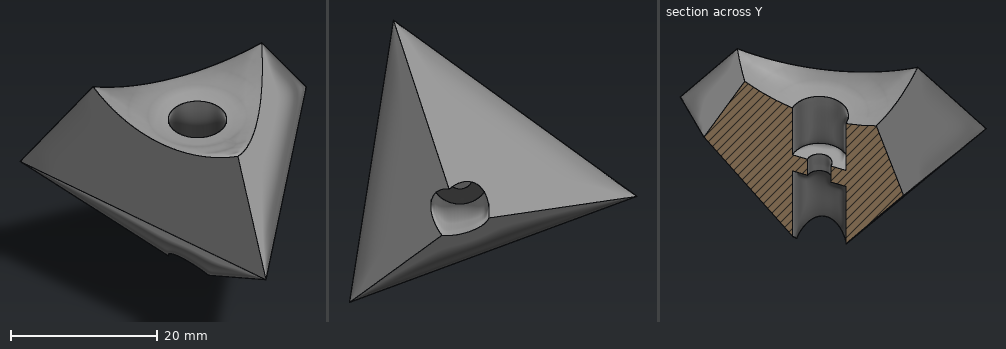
import cadquery as cq
import math

outer_width = 41.0
turn_angle = -15.0
ball_radius = 25.0
bore_diameter = 8.0
hole_diameter = 3.5
web_thickness = 3.0

waist_side = outer_width / math.cos(math.radians(turn_angle))
corner_radius = waist_side / math.sqrt(3)
upper_height = corner_radius * math.sqrt(2)
lower_height = corner_radius / math.sqrt(2)


def corner_point(index):
    angle = math.radians(turn_angle + 120 * index)
    return cq.Vector(corner_radius * math.cos(angle), corner_radius * math.sin(angle), 0)


def triangle_face(*points):
    return cq.Face.makeFromWires(cq.Wire.makePolygon(list(points), close=True))


def bipyramid():
    corners = [corner_point(i) for i in range(3)]
    faces = []
    for apex_z in (upper_height, -lower_height):
        apex = cq.Vector(0, 0, apex_z)
        for i in range(3):
            faces.append(triangle_face(corners[i], corners[(i + 1) % 3], apex))
    return cq.Workplane(obj=cq.Solid.makeSolid(cq.Shell.makeShell(faces)))


def vertical_cylinder(diameter, bottom_z, top_z):
    return cq.Workplane(origin=(0, 0, bottom_z)).circle(diameter / 2).extrude(top_z - bottom_z)


seat = cq.Workplane(origin=(0, 0, upper_height)).sphere(ball_radius)

upper_bore = vertical_cylinder(bore_diameter, web_thickness / 2, upper_height)
lower_bore = vertical_cylinder(bore_diameter, -lower_height, -web_thickness / 2)
through_hole = vertical_cylinder(hole_diameter, -lower_height, upper_height)

result = bipyramid().cut(seat).cut(upper_bore).cut(lower_bore).cut(through_hole)